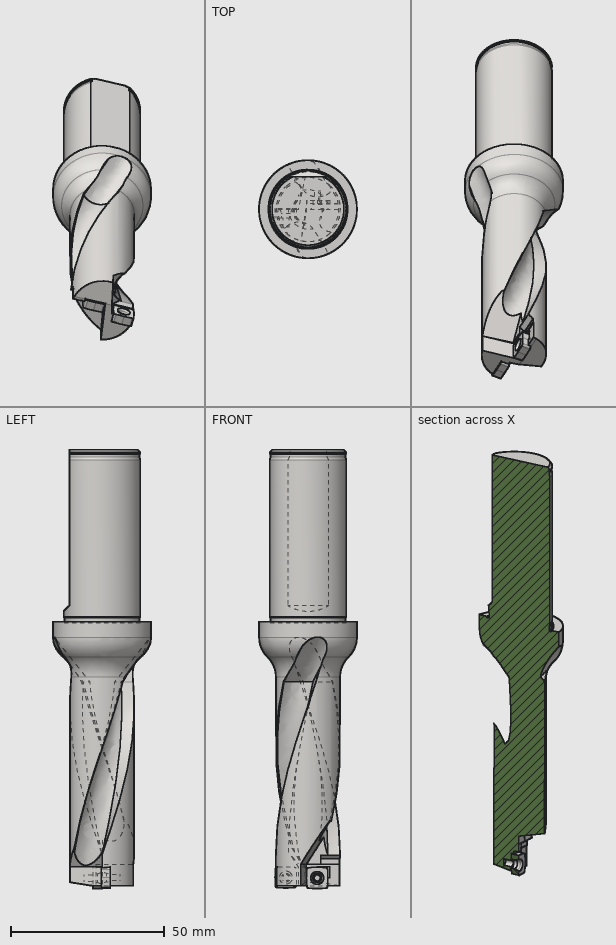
import cadquery as cq
import math

shank_length = 56.0
drill_length = 86.99

shank_radius = 24.99 / 2
groove_radius = 24.5 / 2
neck_height = 1.3
undercut_radius = 12.95
undercut_depth = 0.4
neck_taper = 0.3
top_radius = 11.7
top_chamfer_height = 0.9
lip_height = 0.4
lip_taper = 0.25
top_groove_height = 0.8
top_taper_height = 0.9
flat_distance = 10.6
flat_bottom = 5.3

collar_radius = 16.0
collar_height = 5.0
drill_radius = 10.5
transition_height = 13.0
body_bottom = -86.1
point_slope_start = 3.0
point_slope_angle = 9.0

flute_count = 2
flute_left_offset = -5.4
flute_left_floor = 8.4
flute_right_angle = 33.0
flute_corner_radius = 6.5
flute_floor_sag = 2.2
flute_outer_reach = 14.0
flute_top = -19.5
flute_top_angle = 251.5
twist_rate = 1.85
runout_length = 16.0
runout_outward = 0.59
runout_sideways = 0.74

centre_pocket_top = -79.0
outer_pocket_top = -79.9
gouge_floor_y = 0.0
gouge_lean = 0.64
gouge_height = 14.0
ramp_top = -76.1
ramp_bottom = -77.3
ramp_floor_y = 1.8
ramp_start_x = 4.1
centre_floor_y = 2.0
centre_wall_inner_x = -0.5
centre_wall_outer_x = -2.4
outer_floor_y = 0.0
outer_wall_inner_x = -3.2
outer_wall_outer_x = -1.0

insert_half = 3.35
insert_bulge = 0.15
insert_corner = 0.7
insert_thickness = 3.0
insert_hole_diameter = 2.8
insert_sink_diameter = 3.45
insert_mouth_diameter = 4.2
insert_sink_depth = 0.8
screw_hole_diameter = 2.04
screw_hole_depth = 3.0
seat_relief_width = 0.75
seat_relief_height = 0.25
centre_insert_x = 3.0
centre_insert_y = 0.0
centre_insert_z = -drill_length + insert_half + insert_bulge
outer_insert_x = -7.25
outer_insert_y = 0.3
outer_insert_lift = 0.2
outer_insert_z = centre_insert_z + outer_insert_lift


def turned_blank():
    """Shank, collar and drill body as one revolved profile."""
    taper_bottom = (shank_length - top_chamfer_height - lip_height - lip_taper
                    - top_groove_height - top_taper_height)
    step = collar_radius - drill_radius
    arc_radius = (step**2 + transition_height**2) / (4 * step)
    arc_angle = math.asin(transition_height / 2 / arc_radius)
    mid_sweep = arc_radius * (1 - math.cos(arc_angle / 2))
    mid_drop = arc_radius * math.sin(arc_angle / 2)
    transition_bottom = -collar_height - transition_height
    profile = (
        cq.Workplane("XZ")
        .moveTo(0, body_bottom)
        .lineTo(drill_radius, body_bottom)
        .lineTo(drill_radius, transition_bottom)
        .threePointArc(
            (drill_radius + mid_sweep, transition_bottom + mid_drop),
            (drill_radius + step / 2, transition_bottom + transition_height / 2),
        )
        .threePointArc(
            (collar_radius - mid_sweep, -collar_height - mid_drop),
            (collar_radius, -collar_height),
        )
        .lineTo(collar_radius, 0)
        .lineTo(undercut_radius, 0)
        .lineTo(undercut_radius, -undercut_depth)
        .lineTo(groove_radius, -undercut_depth)
        .lineTo(groove_radius, neck_height)
        .lineTo(shank_radius, neck_height + neck_taper)
        .lineTo(shank_radius, taper_bottom)
        .lineTo(groove_radius, taper_bottom + top_taper_height)
        .lineTo(groove_radius, taper_bottom + top_taper_height + top_groove_height)
        .lineTo(shank_radius, shank_length - top_chamfer_height - lip_height)
        .lineTo(shank_radius, shank_length - top_chamfer_height)
        .lineTo(top_radius, shank_length)
        .lineTo(0, shank_length)
        .close()
    )
    return profile.revolve(360, (0, 0, 0), (0, 1, 0))


def shank_flat():
    """Clamping flat on the +Y side, ending in a 45 degree ramp at the bottom."""
    depth = collar_radius - flat_distance
    return (
        cq.Workplane("YZ")
        .moveTo(flat_distance, shank_length)
        .lineTo(flat_distance, flat_bottom)
        .lineTo(flat_distance + depth, flat_bottom - depth)
        .lineTo(flat_distance + depth, shank_length)
        .close()
        .extrude(collar_radius, both=True)
    )


def polar(radius, angle):
    return cq.Vector(radius * math.cos(math.radians(angle)), radius * math.sin(math.radians(angle)))


def flute_section(angle, height):
    """Hollow floor between a low left wall and a deeper radial wall on the right."""
    left = cq.Vector(flute_left_floor, flute_left_offset)
    right = polar(drill_radius, flute_right_angle)
    corner = polar(flute_corner_radius, flute_right_angle)
    chord = corner - left
    inward = cq.Vector(-chord.y, chord.x).normalized()
    hollow = (left + corner) * 0.5 + inward * flute_floor_sag
    section = (
        cq.Workplane("XY")
        .moveTo(left.x, left.y)
        .threePointArc(hollow.toTuple()[:2], corner.toTuple()[:2])
        .lineTo(right.x, right.y)
        .lineTo(flute_outer_reach, right.y)
        .lineTo(flute_outer_reach, left.y)
        .close()
        .val()
    )
    turned = section.rotate(cq.Vector(0, 0, 0), cq.Vector(0, 0, 1), angle)
    return turned.translate(cq.Vector(0, 0, height))


def flute(top_angle):
    """Helical flute with a straight runout that climbs out through the collar."""
    bottom = outer_pocket_top
    height = flute_top - bottom
    twist = twist_rate * height
    helix = cq.Solid.extrudeLinearWithRotation(
        flute_section(top_angle - twist, bottom), [],
        cq.Vector(0, 0, bottom), cq.Vector(0, 0, height), twist,
    )
    outward = polar(runout_outward, top_angle)
    sideways = polar(runout_sideways, top_angle + 90)
    climb = (outward + sideways + cq.Vector(0, 0, 1)) * runout_length
    runout = cq.Solid.extrudeLinear(flute_section(top_angle, flute_top), [], climb)
    return [helix, runout]


def quarter_section(floor_y, wall_inner_x, wall_outer_x, side, height):
    """Open quarter of the body: side = 1 faces -Y at +X, side = -1 faces +Y at -X."""
    reach = side * collar_radius
    return (
        cq.Workplane("XY", origin=(0, 0, height))
        .moveTo(wall_inner_x, floor_y)
        .lineTo(wall_outer_x, -side * drill_radius)
        .lineTo(wall_outer_x, -reach)
        .lineTo(reach, -reach)
        .lineTo(reach, floor_y)
        .close()
    )


def pocket(floor_y, wall_inner_x, wall_outer_x, side, top):
    """Insert pocket below the flute and the leaning gouge that joins the two."""
    seat = quarter_section(floor_y, wall_inner_x, wall_outer_x, side, top)
    mouth = quarter_section(gouge_floor_y, wall_inner_x, wall_outer_x, side, top)
    lean = cq.Vector(side * gouge_lean, 0, 1) * gouge_height
    gouge = cq.Solid.extrudeLinear(mouth.val(), [], lean)
    return [seat.extrude(body_bottom - top).val(), gouge]


def centre_ramp():
    """Sloped step between the gouge floor and the deeper centre pocket floor."""
    return (
        cq.Workplane("YZ", origin=(ramp_start_x, 0, 0))
        .moveTo(gouge_floor_y, ramp_top)
        .lineTo(ramp_floor_y, ramp_bottom)
        .lineTo(ramp_floor_y, centre_pocket_top)
        .lineTo(gouge_floor_y, centre_pocket_top)
        .close()
        .extrude(collar_radius)
    )


def point_slope():
    """Wedge that lifts the end face towards +Y."""
    run = collar_radius
    rise = run * math.tan(math.radians(point_slope_angle))
    return (
        cq.Workplane("YZ")
        .moveTo(point_slope_start, body_bottom)
        .lineTo(point_slope_start + run, body_bottom + rise)
        .lineTo(point_slope_start + run, body_bottom)
        .close()
        .extrude(collar_radius, both=True)
    )


def insert_blank():
    """Rounded square with slightly pointed edges; cutting face at Y = 0, back at +Y."""
    tip = insert_half + insert_bulge
    corners = []
    for quarter in range(4):
        turn = math.radians(90 * quarter)
        for x, z in ((tip, 0), (insert_half, insert_half)):
            corners.append((
                x * math.cos(turn) - z * math.sin(turn),
                x * math.sin(turn) + z * math.cos(turn),
            ))
    blank = cq.Workplane("XZ").polyline(corners).close().extrude(-insert_thickness)
    for sx in (-1, 1):
        for sz in (-1, 1):
            middle = (sx * insert_half, insert_thickness / 2, sz * insert_half)
            blank = blank.edges(cq.selectors.NearestToPointSelector(middle)).fillet(insert_corner)
    return blank


def insert():
    hole = cq.Workplane("XZ").circle(insert_hole_diameter / 2).extrude(-insert_thickness)
    blank = insert_blank().cut(hole)
    for step, (upper, lower) in enumerate((
        (insert_mouth_diameter, insert_sink_diameter),
        (insert_sink_diameter, insert_hole_diameter),
    )):
        cone = (
            cq.Workplane("XZ", origin=(0, step * insert_sink_depth, 0)).circle(upper / 2)
            .workplane(offset=-insert_sink_depth).circle(lower / 2).loft()
        )
        blank = blank.cut(cone)
    return blank


def screw_hole():
    return (
        cq.Workplane("XZ", origin=(0, insert_thickness, 0))
        .circle(screw_hole_diameter / 2).extrude(-screw_hole_depth)
    )


def at_centre(part):
    return part.translate((centre_insert_x, centre_insert_y, centre_insert_z))


def at_outer(part):
    turned = part.rotate((0, 0, 0), (0, 0, 1), 180)
    return turned.translate((outer_insert_x, outer_insert_y, outer_insert_z))


def seat_relief():
    """Clearance beside the upper outer corner of the centre insert."""
    width = insert_half + seat_relief_width
    height = insert_half + seat_relief_height
    relief = cq.Workplane("XY").box(width, insert_thickness, height, centered=False)
    return at_centre(relief)


holder = turned_blank().cut(shank_flat())
for index in range(flute_count):
    for piece in flute(flute_top_angle + index * 360 / flute_count):
        holder = holder.cut(cq.Workplane(piece))
centre_pocket = pocket(centre_floor_y, centre_wall_inner_x, centre_wall_outer_x, 1, centre_pocket_top)
outer_pocket = pocket(outer_floor_y, outer_wall_inner_x, outer_wall_outer_x, -1, outer_pocket_top)
for piece in centre_pocket + outer_pocket:
    holder = holder.cut(cq.Workplane(piece))
holder = holder.cut(centre_ramp())
holder = holder.cut(point_slope())
holder = holder.cut(seat_relief())

inserts = []
for place in (at_centre, at_outer):
    holder = holder.cut(place(insert_blank())).cut(place(screw_hole()))
    inserts.append(place(insert()).val())

result = cq.Compound.makeCompound([holder.val(), *inserts])